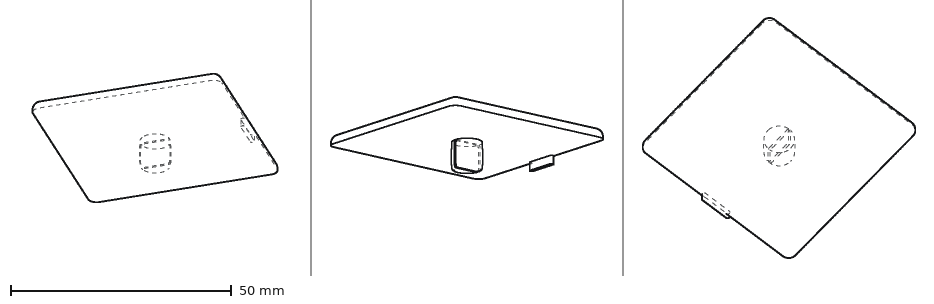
import cadquery as cq

side = 45.0
plate_thickness = 2.5
edge_radius = 2.02

post_length = 6.5
neck_radius = 3.45
neck_length = 0.2
bulge_radius = 3.6
bulge_start = 3.0
bulge_end = 4.5
tip_rounding = 0.5
slot_width = 0.55

tab_width = 8.0
tab_thickness = 1.0
tab_height = 2.0


def make_plate():
    """Square plate with rounded corners and a rolled top edge, underside at Z = 0."""
    plate = cq.Workplane("XY").box(side, side, plate_thickness, centered=(True, True, False))
    return plate.edges("|Z or >Z").fillet(edge_radius)


def make_post():
    """Post with a short straight neck, tapered bulge and rounded tip, split in X by a slot along Y."""
    post = (
        cq.Workplane("XZ")
        .lineTo(neck_radius, 0)
        .lineTo(neck_radius, -neck_length)
        .lineTo(bulge_radius, -bulge_start)
        .lineTo(bulge_radius, -bulge_end)
        .lineTo(neck_radius, -post_length + tip_rounding)
        .radiusArc((neck_radius - tip_rounding, -post_length), tip_rounding)
        .lineTo(0, -post_length)
        .close()
        .revolve(360, (0, 0, 0), (0, 1, 0))
    )
    slot = cq.Workplane("XY").box(slot_width, 2 * side, post_length, centered=(True, True, False))
    return post.cut(slot.translate((0, 0, -post_length)))


def make_tab():
    """Tab with fully rounded ends hanging below the +Y edge."""
    return (
        cq.Workplane("XY")
        .center(0, (side - tab_thickness) / 2)
        .slot2D(tab_width, tab_thickness)
        .extrude(-tab_height)
    )


result = make_plate().union(make_post()).union(make_tab())